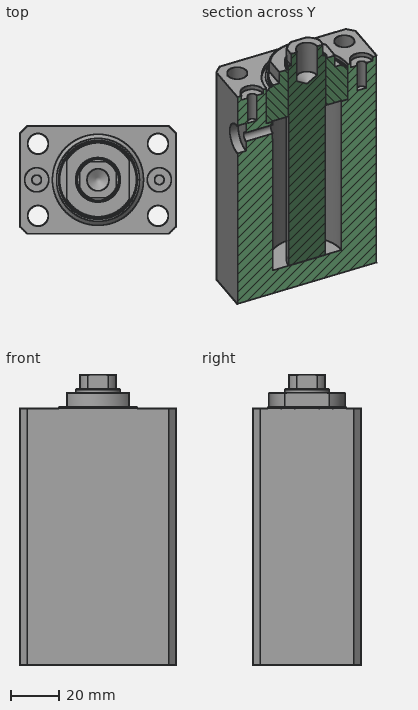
import cadquery as cq
import math

block_length = 65.0
block_width = 45.0
block_height = 107.0
corner_chamfer = 3.0

bolt_spacing_x = 50.0
bolt_spacing_y = 30.0
bolt_diameter = 8.5

top_port_offset = 25.5
top_port_diameter = 4.0
top_recess_diameter = 10.0
top_recess_depth = 2.0
top_port_depth = 15.0

side_port_drop = 22.0
side_port_z = block_height - side_port_drop
side_port_diameter = 4.2
side_recess_diameter = 14.0
side_recess_depth = 4.0

gland_radius = 19.0
gland_rim_chamfer = 1.7
gland_depth = 18.0
gland_bottom_z = block_height - gland_depth
foot_radius = 16.5
foot_height = 0.7
collar_radius = 16.0
collar_edge_inset = 0.6
collar_edge_drop = 0.4
collar_height = 6.5
collar_top_z = block_height + collar_height
collar_across_flats = 26.0
lip_radius = 9.3
lip_chamfer = 0.5
lip_height = 1.6
lip_top_z = collar_top_z + lip_height

rod_radius = 8.6
rod_edge_chamfer = 0.4
rod_top_z = 121
rod_across_flats = 15.0
rod_bore_diameter = 9.2
rod_bore_depth = 15.0
drill_point_angle = 118

chamber_radius = 16.0
chamber_floor_z = 12.1

side_port_depth = block_length / 2 - (rod_radius + chamber_radius) / 2


def cylinder(radius, bottom_z, top_z):
    """Vertical cylinder on the main axis."""
    return cq.Workplane("XY").workplane(offset=bottom_z).circle(radius).extrude(top_z - bottom_z)


def prism(size_x, size_y, bottom_z, top_z):
    """Vertical rectangular prism centred on the main axis."""
    return cq.Workplane("XY").workplane(offset=bottom_z).rect(size_x, size_y).extrude(top_z - bottom_z)


def revolved(section):
    """Solid of revolution about the main axis from (radius, z) points."""
    return cq.Workplane("XZ").polyline(section).close().revolve(360, (0, 0, 0), (0, 1, 0))


def make_housing():
    block = cq.Workplane("XY").box(block_length, block_width, block_height, centered=(True, True, False))
    block = block.edges("|Z").chamfer(corner_chamfer)

    block = block.cut(cylinder(gland_radius, gland_bottom_z, block_height))
    block = block.cut(cylinder(chamber_radius, chamber_floor_z, gland_bottom_z))

    top_plane = cq.Workplane("XY").workplane(offset=block_height)
    bolt_holes = top_plane.rect(bolt_spacing_x, bolt_spacing_y, forConstruction=True).vertices()
    block = block.cut(bolt_holes.circle(bolt_diameter / 2).extrude(-block_height))

    port_places = [(-top_port_offset, 0), (top_port_offset, 0)]
    top_ports = top_plane.pushPoints(port_places)
    block = block.cut(top_ports.circle(top_recess_diameter / 2).extrude(-top_recess_depth))
    block = block.cut(top_ports.circle(top_port_diameter / 2).extrude(-top_port_depth))

    side_plane = cq.Workplane("YZ", origin=(-block_length / 2, 0, side_port_z))
    block = block.cut(side_plane.circle(side_recess_diameter / 2).extrude(side_recess_depth))
    block = block.cut(side_plane.circle(side_port_diameter / 2).extrude(side_port_depth))
    return block


def make_gland():
    foot_top_z = block_height + foot_height
    section = [
        (0, gland_bottom_z),
        (gland_radius, gland_bottom_z),
        (gland_radius, block_height - gland_rim_chamfer),
        (gland_radius - gland_rim_chamfer, block_height),
        (foot_radius, block_height),
        (collar_radius, foot_top_z),
        (collar_radius, collar_top_z - collar_edge_drop),
        (collar_radius - collar_edge_inset, collar_top_z),
        (lip_radius, collar_top_z),
        (lip_radius, lip_top_z - lip_chamfer),
        (lip_radius - lip_chamfer, lip_top_z),
        (0, lip_top_z),
    ]
    body = revolved(section)

    collar_blank = prism(2 * collar_radius, 2 * collar_radius, foot_top_z, collar_top_z)
    flat_cutter = collar_blank.cut(
        prism(collar_across_flats, 2 * collar_radius, foot_top_z, collar_top_z)
    )

    rod_hole = cylinder(rod_radius, gland_bottom_z, lip_top_z)
    return body.cut(flat_cutter).cut(rod_hole)


def make_rod():
    shaft = cylinder(rod_radius, chamber_floor_z, lip_top_z)
    head = cylinder(rod_radius, lip_top_z, rod_top_z).faces(">Z").chamfer(rod_edge_chamfer)
    head = head.intersect(prism(rod_across_flats, rod_across_flats, lip_top_z, rod_top_z))

    bore_radius = rod_bore_diameter / 2
    bore_bottom_z = rod_top_z - rod_bore_depth
    point_z = bore_bottom_z - bore_radius / math.tan(math.radians(drill_point_angle / 2))
    bore_profile = [(0, rod_top_z), (bore_radius, rod_top_z), (bore_radius, bore_bottom_z), (0, point_z)]
    return shaft.union(head).cut(revolved(bore_profile))


housing = make_housing()
gland = make_gland()
rod = make_rod()

result = cq.Compound.makeCompound([housing.val(), gland.val(), rod.val()])